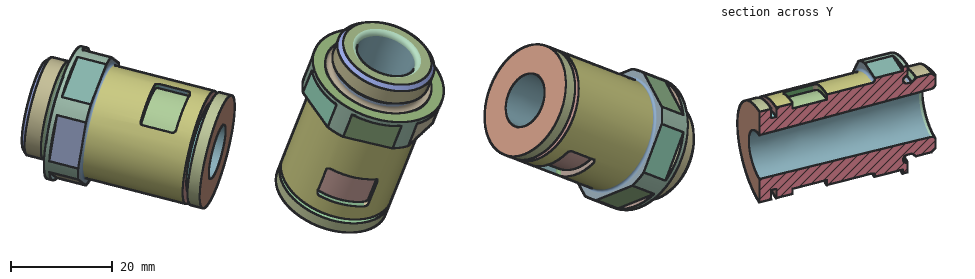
import cadquery as cq
import math

total_length = 37.5
thread_end = 4.75
relief_start = 5.1
flange_start = 5.95
flange_thickness = 1.1
hex_end = 13.0
groove_start = 33.98
groove_end = 35.0

thread_diameter = 20.0
neck_diameter = 18.15
flange_diameter = 27.0
body_diameter = 23.0
ring_groove_diameter = 18.3
mouth_bore_diameter = 12.0
far_bore_diameter = 11.0

front_chamfer = 0.9
rear_chamfer_length = 0.52
rear_chamfer_depth = 0.65
collar_fillet = 0.5
mouth_radius = 1.0
seal_groove_radius = 0.95

hex_across_flats = 25.0

window_start = 23.18
window_length = 7.28
window_width = 10.5
window_corner = 0.7
window_floor_diameter = 20.4


def turned_body():
    """Revolve the outer profile, including the round seal groove in the flange face."""
    thread_radius = thread_diameter / 2
    neck_radius = neck_diameter / 2
    body_radius = body_diameter / 2
    flange_radius = flange_diameter / 2
    seal_middle = neck_radius + seal_groove_radius
    arc_reach = collar_fillet * (1 - math.sqrt(0.5))
    profile = (
        cq.Workplane("XY")
        .lineTo(0, thread_radius - front_chamfer)
        .lineTo(front_chamfer, thread_radius)
        .lineTo(thread_end - rear_chamfer_length, thread_radius)
        .lineTo(thread_end, thread_radius - rear_chamfer_depth)
        .lineTo(relief_start, neck_radius)
        .lineTo(flange_start, neck_radius)
        .threePointArc(
            (flange_start + seal_groove_radius, seal_middle),
            (flange_start, seal_middle + seal_groove_radius),
        )
        .lineTo(flange_start, flange_radius)
        .lineTo(hex_end, flange_radius)
        .lineTo(hex_end, body_radius + collar_fillet)
        .threePointArc(
            (hex_end + arc_reach, body_radius + arc_reach),
            (hex_end + collar_fillet, body_radius),
        )
        .lineTo(groove_start, body_radius)
        .lineTo(groove_start, ring_groove_diameter / 2)
        .lineTo(groove_end, ring_groove_diameter / 2)
        .lineTo(groove_end, body_radius)
        .lineTo(total_length, body_radius)
        .lineTo(total_length, 0)
        .close()
    )
    return profile.revolve(360, (0, 0, 0), (1, 0, 0))


def wrench_flat_cutter():
    """Material outside the hexagon, behind the round flange; two flats face up and down."""
    flats_start = flange_start + flange_thickness
    flats_length = hex_end - flats_start
    hex_across_corners = hex_across_flats / math.cos(math.pi / 6)
    return (
        cq.Workplane("YZ", origin=(flats_start, 0, 0))
        .circle(flange_diameter)
        .polygon(6, hex_across_corners)
        .extrude(flats_length)
    )


def window_cutter(side):
    """Rounded rectangular window above (1) or below (-1), with a floor concentric to the body."""
    block = (
        cq.Workplane("XY")
        .center(window_start + window_length / 2, 0)
        .rect(window_length, window_width)
        .extrude(side * body_diameter)
        .edges("|Z")
        .fillet(window_corner)
    )
    floor = cq.Workplane("YZ").circle(window_floor_diameter / 2).extrude(total_length)
    return block.cut(floor)


def bore_cutter():
    """Through bore with a rounded mouth and a slight taper toward the far end."""
    mouth_bore_radius = mouth_bore_diameter / 2
    arc_reach = mouth_radius * (1 - math.sqrt(0.5))
    profile = (
        cq.Workplane("XY")
        .lineTo(0, mouth_bore_radius + mouth_radius)
        .threePointArc(
            (arc_reach, mouth_bore_radius + arc_reach),
            (mouth_radius, mouth_bore_radius),
        )
        .lineTo(total_length, far_bore_diameter / 2)
        .lineTo(total_length, 0)
        .close()
    )
    return profile.revolve(360, (0, 0, 0), (1, 0, 0))


result = turned_body().cut(wrench_flat_cutter()).cut(bore_cutter())
for window_side in (1, -1):
    result = result.cut(window_cutter(window_side))